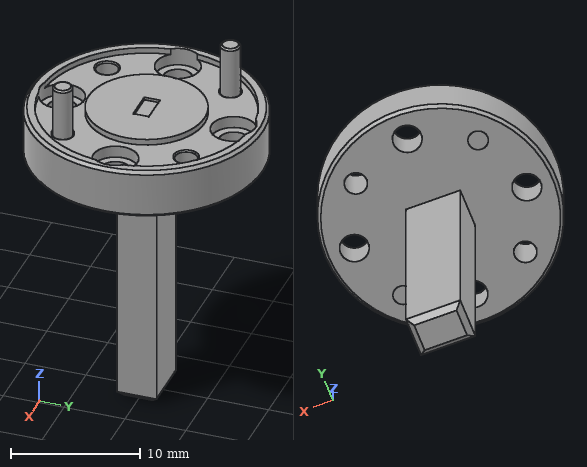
import cadquery as cq

flange_diameter = 19.05
flange_thickness = 4.13
flange_chamfer = 0.25

recess_diameter = 17.27
recess_depth = 0.5
boss_diameter = 9.5

screw_hole_diameter = 2.28
counterbore_diameter = 3.6
counterbore_depth = 1.0
screw_offset = 7.15
front_screw_offset = 6.95
screw_points = [
    (screw_offset, 0),
    (-screw_offset, 0),
    (0, screw_offset),
    (0, -front_screw_offset),
]

pin_diameter = 1.58
pin_projection = 3.8
pin_chamfer = 0.15
dowel_offset = 5.05
pin_points = [(-dowel_offset, dowel_offset), (dowel_offset, -dowel_offset)]
alignment_points = [(dowel_offset, dowel_offset), (-dowel_offset, -dowel_offset)]
alignment_diameter = 1.8
mouth_chamfer = 0.12

total_height = 29.27
stem_width = 4.5
stem_depth = 3.25
stem_chamfer = 0.5

pocket_width = 2.55
pocket_length = 1.3
pocket_depth = 0.23

recess_floor_z = -recess_depth
counterbore_floor_z = recess_floor_z - counterbore_depth
flange_bottom_z = -flange_thickness
stem_bottom_z = pin_projection - total_height


def cylinder(diameter, bottom_z, top_z, point=(0, 0)):
    """Upright cylinder between two heights."""
    return (
        cq.Workplane("XY", origin=(*point, bottom_z))
        .circle(diameter / 2)
        .extrude(top_z - bottom_z)
    )


def make_flange():
    """Chamfered disc with an annular recess in its top."""
    disc = cylinder(flange_diameter, flange_bottom_z, 0).edges().chamfer(flange_chamfer)
    boss = cylinder(boss_diameter, recess_floor_z, 0)
    return disc.cut(cylinder(recess_diameter, recess_floor_z, 0).cut(boss))


def make_stem():
    """Rectangular bar with its lower end chamfered."""
    return (
        cq.Workplane("XY", origin=(0, 0, stem_bottom_z))
        .rect(stem_width, stem_depth)
        .extrude(flange_bottom_z - stem_bottom_z)
        .faces("<Z")
        .chamfer(stem_chamfer)
    )


def screw_hole_cutter(point):
    """Through hole plus a counterbore that reaches up through the rim."""
    hole = cylinder(screw_hole_diameter, flange_bottom_z, 0, point)
    return hole.union(cylinder(counterbore_diameter, counterbore_floor_z, 0, point))


def dowel_hole_cutter(point, diameter):
    """Through hole with a chamfered mouth at the recess floor."""
    hole = cylinder(diameter, flange_bottom_z, recess_floor_z, point)
    mouth = (
        cq.Workplane("XY", origin=(*point, recess_floor_z))
        .circle(diameter / 2 + mouth_chamfer)
        .workplane(offset=-mouth_chamfer)
        .circle(diameter / 2)
        .loft()
    )
    return hole.union(mouth)


def make_pocket_cutter():
    return (
        cq.Workplane("XY", origin=(0, 0, -pocket_depth))
        .rect(pocket_width, pocket_length)
        .extrude(pocket_depth)
    )


def make_body():
    """Flange and stem in one piece, with all holes cut."""
    body = make_flange().union(make_stem())
    for point in screw_points:
        body = body.cut(screw_hole_cutter(point))
    for point in pin_points:
        body = body.cut(dowel_hole_cutter(point, pin_diameter))
    for point in alignment_points:
        body = body.cut(dowel_hole_cutter(point, alignment_diameter))
    return body.cut(make_pocket_cutter())


def make_pin(point):
    """Dowel pin filling its hole, chamfered at the upper end."""
    pin = cylinder(pin_diameter, flange_bottom_z, pin_projection, point)
    return pin.faces(">Z").chamfer(pin_chamfer)


body = make_body()
pins = [make_pin(point) for point in pin_points]

result = cq.Compound.makeCompound([body.val(), *[pin.val() for pin in pins]])